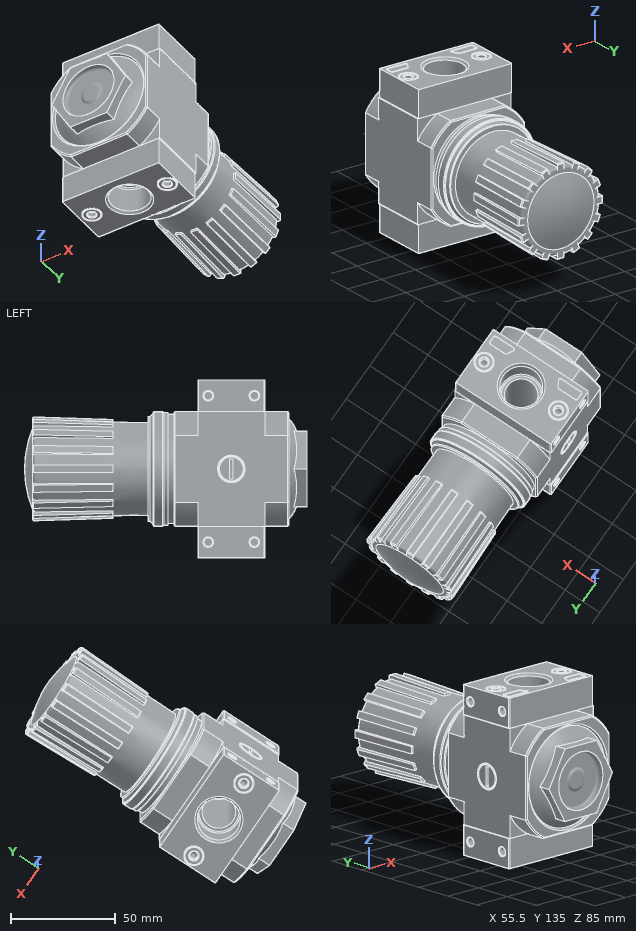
import cadquery as cq
import math


BLOCK_HALF = 55.0 / 2
BAND_HALF = 32.0 / 2
CORNER_RADIUS = math.hypot(BLOCK_HALF, BAND_HALF)
BLOCK_CHAMFER = 0.7
UNDERCUT_RADIUS = 26.2
SHOULDER_RADIUS = 27.0
COLLAR_RADIUS = 27.4
COLLAR_TOP_RADIUS = 25.1
UNDERCUT_END = 30.2
SHOULDER_END = 32.3
COLLAR_START = 32.8
COLLAR_END = 37.4
COLLAR_CHAMFER = 0.4
COLLAR_CONE_RADIUS = 26.5
COLLAR_LIP_START = 38.9
NECK_END = 39.7

PORT_RADIUS = 16.0 / 2
SOCKET_RADIUS = 10.3
SOCKET_MOUTH_RADIUS = 11.5
SOCKET_SEAT_RADIUS = 9.6

PLATE_OUTER_Z = 42.5
PLATE_THICKNESS = PLATE_OUTER_Z - BLOCK_HALF
PLATE_OFFSET = -0.5
PLATE_EDGE_CHAMFER = 0.4
SIDE_HOLE_RADIUS = 4.2 / 2
SIDE_HOLE_MOUTH_RADIUS = 5.0 / 2
SIDE_HOLE_DEPTH = 10.0
SIDE_HOLE_Y = 22.0 / 2
SIDE_HOLE_Z = 35.0

LABEL_DEPTH = 0.3
LABEL_MARGIN = 2.2
LABEL_INNER_X = 12.4
LABEL_SLANT = 2.5
LABEL_FRONT_Y = -13.8
LABEL_HEIGHT = 4.7
LABEL_CORNER = 0.8

SCREW_X = 21.5
HEAD_RADIUS = 9.6 / 2
HEAD_TOP_RADIUS = 8.5 / 2
HEAD_HEIGHT = 6.0
SHANK_RADIUS = 6.3 / 2
SCREW_LENGTH = 25.0
DRIVE_RADIUS = 4.2 / 2
DRIVE_MOUTH_RADIUS = 5.0 / 2
DRIVE_DEPTH = 3.0
DRIVE_CONE = 1.2

PLUG_RADIUS = 12.3 / 2
PLUG_FACE_RADIUS = 11.5 / 2
PLUG_SEAT_RADIUS = 13.1 / 2
PLUG_LENGTH = 8.0
SLOT_WIDTH = 1.6
SLOT_LENGTH = 9.6
SLOT_DEPTH = 1.6

CAP_RADIUS = 50.2 / 2
CAP_MOUTH_RADIUS = 26.0
CAP_SEAT_Y = -20.5
DOME_START_Y = -26.5
DOME_MID = (20.9, -29.8)
HEX_APOTHEM = 18.1
DOME_END_Y = -31.2
HEX_END_Y = -36.2
RECESS_RADIUS = 29.0 / 2
RECESS_FLOOR_RADIUS = 26.5 / 2
RECESS_DEPTH = 3.2
BOSS_BASE_RADIUS = 6.3
BOSS_TOP_RADIUS = 8.5 / 2
BOSS_HEIGHT = 0.8

BODY_BOTTOM_RADIUS = 22.3
BODY_TOP_RADIUS = 23.1
RIB_START_Y = 56.5
RIM_Y = 94.9
KNOB_END_Y = 98.8
CROWN_RADIUS = 39.0 / 2
RIM_FILLET = 1.6
RIB_COUNT = 16
RIB_WIDTH = 3.6
RIB_BOTTOM_RADIUS = 23.6
RIB_TOP_RADIUS = 24.8
RIB_CHAMFER = 0.5

ARC_MID = math.sqrt(0.5)


def revolve_about_y(profile):
    """Revolve a profile given as (radius, y) about the Y axis."""
    return profile.close().revolve(360, (0, 0, 0), (0, 1, 0))


def revolve_about_z(profile):
    """Revolve a profile given as (radius, z) about the Z axis."""
    return profile.close().revolve(360, (0, 0, 0), (0, 1, 0))


def round_corner(profile, end, center, radius, toward):
    """Add a quarter arc to `end`; `toward` gives the signs of its bulge from the centre."""
    middle = (
        center[0] + toward[0] * radius * ARC_MID,
        center[1] + toward[1] * radius * ARC_MID,
    )
    return profile.threePointArc(middle, end)


def side_plug_shape(face_radius, body_radius, length):
    """Round shape entering the -X face, with a 45 degree edge from face to body radius."""
    edge = abs(face_radius - body_radius)
    profile = (
        cq.Workplane("XY")
        .moveTo(-BLOCK_HALF, 0)
        .lineTo(-BLOCK_HALF, face_radius)
        .lineTo(-BLOCK_HALF + edge, body_radius)
        .lineTo(-BLOCK_HALF + length, body_radius)
        .lineTo(-BLOCK_HALF + length, 0)
    )
    return profile.close().revolve(360, (0, 0, 0), (1, 0, 0))


def screw_blank():
    """Outline solid of a plate screw, head flush with the upper plate face."""
    head_base = PLATE_OUTER_Z - HEAD_HEIGHT
    head = cq.Workplane("XY").workplane(offset=head_base).circle(HEAD_RADIUS).extrude(HEAD_HEIGHT)
    shank = (
        cq.Workplane("XY")
        .workplane(offset=PLATE_OUTER_Z - SCREW_LENGTH)
        .circle(SHANK_RADIUS)
        .extrude(SCREW_LENGTH - HEAD_HEIGHT)
    )
    return head.union(shank)


def at_screw_places(shape):
    """Copies of an upper-side shape at all four screw places."""
    upper = [shape.translate((side * SCREW_X, 0, 0)) for side in (-1, 1)]
    lower = [copy.rotate((0, 0, 0), (0, 1, 0), 180) for copy in upper]
    return upper + lower


def make_housing():
    side = 2 * BLOCK_HALF
    block = cq.Workplane("XY").box(side, side, side)
    rounded = cq.Workplane("XZ").circle(CORNER_RADIUS).extrude(BLOCK_HALF, both=True)
    body = block.intersect(rounded).faces("<Y or >Y").edges().chamfer(BLOCK_CHAMFER)
    body = body.union(cq.Workplane("XY").box(side, 2 * BAND_HALF, side))

    neck = revolve_about_y(
        cq.Workplane("XY")
        .moveTo(0, BLOCK_HALF)
        .lineTo(UNDERCUT_RADIUS, BLOCK_HALF)
        .lineTo(UNDERCUT_RADIUS, UNDERCUT_END)
        .lineTo(SHOULDER_RADIUS, UNDERCUT_END)
        .lineTo(SHOULDER_RADIUS, SHOULDER_END)
        .lineTo(COLLAR_RADIUS, COLLAR_START)
        .lineTo(COLLAR_RADIUS, COLLAR_END - COLLAR_CHAMFER)
        .lineTo(COLLAR_RADIUS - COLLAR_CHAMFER, COLLAR_END)
        .lineTo(COLLAR_CONE_RADIUS, COLLAR_END)
        .lineTo(COLLAR_TOP_RADIUS, COLLAR_LIP_START)
        .lineTo(COLLAR_TOP_RADIUS, NECK_END)
        .lineTo(0, NECK_END)
    )
    body = body.union(neck)

    mouth_chamfer = CAP_MOUTH_RADIUS - CAP_RADIUS
    cap_seat = revolve_about_y(
        cq.Workplane("XY")
        .moveTo(0, -BLOCK_HALF)
        .lineTo(CAP_MOUTH_RADIUS, -BLOCK_HALF)
        .lineTo(CAP_RADIUS, -BLOCK_HALF + mouth_chamfer)
        .lineTo(CAP_RADIUS, CAP_SEAT_Y)
        .lineTo(0, CAP_SEAT_Y)
    )
    port = cq.Workplane("XY").circle(PORT_RADIUS).extrude(BLOCK_HALF, both=True)
    plug_seat = side_plug_shape(PLUG_SEAT_RADIUS, PLUG_RADIUS, PLUG_LENGTH)
    body = body.cut(cap_seat).cut(port).cut(plug_seat)
    for blank in at_screw_places(screw_blank()):
        body = body.cut(blank)
    return body


def make_plate():
    """Upper connection plate; the lower one is this plate turned over about X."""
    plate = (
        cq.Workplane("XY")
        .box(2 * BLOCK_HALF, 2 * BAND_HALF, PLATE_THICKNESS, centered=(True, True, False))
        .translate((PLATE_OFFSET, 0, BLOCK_HALF))
        .edges("|Z and <X")
        .chamfer(PLATE_EDGE_CHAMFER)
    )
    mouth_chamfer = SOCKET_MOUTH_RADIUS - SOCKET_RADIUS
    seat_chamfer = SOCKET_RADIUS - SOCKET_SEAT_RADIUS
    socket = revolve_about_z(
        cq.Workplane("XZ")
        .moveTo(0, BLOCK_HALF)
        .lineTo(SOCKET_SEAT_RADIUS, BLOCK_HALF)
        .lineTo(SOCKET_RADIUS, BLOCK_HALF + seat_chamfer)
        .lineTo(SOCKET_RADIUS, PLATE_OUTER_Z - mouth_chamfer)
        .lineTo(SOCKET_MOUTH_RADIUS, PLATE_OUTER_Z)
        .lineTo(0, PLATE_OUTER_Z)
    )
    plate = plate.cut(socket)
    for blank in at_screw_places(screw_blank())[:2]:
        plate = plate.cut(blank)

    for y in (-SIDE_HOLE_Y, SIDE_HOLE_Y):
        hole = (
            cq.Workplane("YZ")
            .workplane(offset=PLATE_OFFSET - BLOCK_HALF)
            .center(y, SIDE_HOLE_Z)
            .circle(SIDE_HOLE_MOUTH_RADIUS)
            .workplane(offset=SIDE_HOLE_MOUTH_RADIUS - SIDE_HOLE_RADIUS)
            .circle(SIDE_HOLE_RADIUS)
            .loft()
            .faces(">X")
            .workplane()
            .circle(SIDE_HOLE_RADIUS)
            .extrude(SIDE_HOLE_DEPTH)
        )
        plate = plate.cut(hole)
    return plate


def label_field(side):
    """Shallow label recess on the -X (side = -1) or +X (side = 1) half of the upper plate."""
    inner = side * LABEL_INNER_X
    outer = PLATE_OFFSET + side * (BLOCK_HALF - LABEL_MARGIN)
    back = LABEL_FRONT_Y + LABEL_HEIGHT
    return (
        cq.Workplane("XY")
        .workplane(offset=PLATE_OUTER_Z - LABEL_DEPTH)
        .moveTo(inner, LABEL_FRONT_Y)
        .lineTo(outer, LABEL_FRONT_Y)
        .lineTo(outer, back)
        .lineTo(inner + side * LABEL_SLANT, back)
        .close()
        .extrude(LABEL_DEPTH)
        .edges("|Z")
        .fillet(LABEL_CORNER)
    )


def make_screw():
    screw = screw_blank().faces(">Z").edges().chamfer(HEAD_RADIUS - HEAD_TOP_RADIUS)
    mouth_chamfer = DRIVE_MOUTH_RADIUS - DRIVE_RADIUS
    drive = revolve_about_z(
        cq.Workplane("XZ")
        .moveTo(0, PLATE_OUTER_Z)
        .lineTo(DRIVE_MOUTH_RADIUS, PLATE_OUTER_Z)
        .lineTo(DRIVE_RADIUS, PLATE_OUTER_Z - mouth_chamfer)
        .lineTo(DRIVE_RADIUS, PLATE_OUTER_Z - DRIVE_DEPTH)
        .lineTo(0, PLATE_OUTER_Z - DRIVE_DEPTH - DRIVE_CONE)
    )
    return screw.cut(drive)


def make_plug():
    plug = side_plug_shape(PLUG_FACE_RADIUS, PLUG_RADIUS, PLUG_LENGTH)
    slot = cq.Workplane("XY").box(2 * SLOT_DEPTH, SLOT_WIDTH, SLOT_LENGTH).translate((-BLOCK_HALF, 0, 0))
    return plug.cut(slot)


def make_cap():
    dome = revolve_about_y(
        cq.Workplane("XY")
        .moveTo(0, CAP_SEAT_Y)
        .lineTo(CAP_RADIUS, CAP_SEAT_Y)
        .lineTo(CAP_RADIUS, DOME_START_Y)
        .threePointArc(DOME_MID, (HEX_APOTHEM, DOME_END_Y))
        .lineTo(0, DOME_END_Y)
    )
    hexagon = (
        cq.Workplane("XZ")
        .workplane(offset=-CAP_SEAT_Y)
        .polygon(6, 2 * HEX_APOTHEM / math.cos(math.pi / 6))
        .extrude(CAP_SEAT_Y - HEX_END_Y)
    )
    floor = HEX_END_Y + RECESS_DEPTH
    floor_fillet = RECESS_RADIUS - RECESS_FLOOR_RADIUS
    boss_mid = ((BOSS_BASE_RADIUS + BOSS_TOP_RADIUS) / 2, floor - BOSS_HEIGHT / 2)
    boss_top = floor - BOSS_HEIGHT
    recess = (
        cq.Workplane("XY")
        .moveTo(0, HEX_END_Y)
        .lineTo(RECESS_RADIUS, HEX_END_Y)
        .lineTo(RECESS_RADIUS, floor - floor_fillet)
    )
    floor_center = (RECESS_FLOOR_RADIUS, floor - floor_fillet)
    recess = round_corner(recess, (RECESS_FLOOR_RADIUS, floor), floor_center, floor_fillet, (1, 1))
    recess = (
        recess.lineTo(BOSS_BASE_RADIUS, floor)
        .tangentArcPoint(boss_mid, relative=False)
        .tangentArcPoint((BOSS_TOP_RADIUS, boss_top), relative=False)
        .lineTo(0, boss_top)
    )
    return dome.union(hexagon).cut(revolve_about_y(recess))


def knob_rib():
    """One tapered grip rib on the +Z side, chamfered at the rim."""
    return (
        cq.Workplane("YZ")
        .moveTo(RIB_START_Y, 0)
        .lineTo(RIB_START_Y, RIB_BOTTOM_RADIUS)
        .lineTo(RIM_Y - RIB_CHAMFER, RIB_TOP_RADIUS)
        .lineTo(RIM_Y, RIB_TOP_RADIUS - RIB_CHAMFER)
        .lineTo(RIM_Y, 0)
        .close()
        .extrude(RIB_WIDTH / 2, both=True)
    )


def make_knob():
    crown_height = KNOB_END_Y - RIM_Y
    crown_sphere = (CROWN_RADIUS**2 + crown_height**2) / (2 * crown_height)
    crown_mid_radius = CROWN_RADIUS / 2
    crown_mid_y = KNOB_END_Y - crown_sphere + math.sqrt(crown_sphere**2 - crown_mid_radius**2)
    profile = (
        cq.Workplane("XY")
        .moveTo(0, NECK_END)
        .lineTo(BODY_BOTTOM_RADIUS, NECK_END)
        .lineTo(BODY_TOP_RADIUS, RIM_Y - RIM_FILLET)
    )
    fillet_start = BODY_TOP_RADIUS - RIM_FILLET
    profile = round_corner(
        profile, (fillet_start, RIM_Y), (fillet_start, RIM_Y - RIM_FILLET), RIM_FILLET, (1, 1)
    )
    profile = (
        profile.lineTo(CROWN_RADIUS, RIM_Y)
        .threePointArc((crown_mid_radius, crown_mid_y), (0, KNOB_END_Y))
    )
    knob = revolve_about_y(profile)
    for index in range(RIB_COUNT):
        knob = knob.union(knob_rib().rotate((0, 0, 0), (0, 1, 0), index * 360 / RIB_COUNT))
    return knob


housing = make_housing()
lower_plate = make_plate().rotate((0, 0, 0), (1, 0, 0), 180)
upper_plate = make_plate().cut(label_field(-1)).cut(label_field(1))
screws = at_screw_places(make_screw())
plug = make_plug()
cap = make_cap()
knob = make_knob()

result = cq.Compound.makeCompound(
    [
        housing.val(),
        upper_plate.val(),
        lower_plate.val(),
        *[screw.val() for screw in screws],
        plug.val(),
        cap.val(),
        knob.val(),
    ]
)